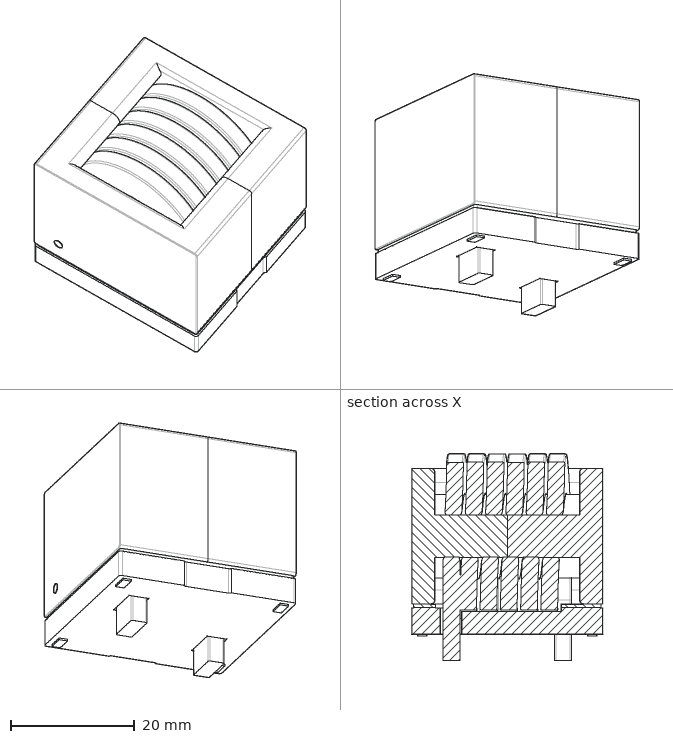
import cadquery as cq
import math


core_width = 32.2
core_depth = 31.0
core_height = 21.98
core_edge_radius = 0.47
core_face_radius = 0.15
post_diameter = 13.5
cavity_radius = 13.5
cavity_half_depth = 11.72
leg_lip_radius = 1.4
wall_lip_radius = 0.65

mark_diameter = 1.6
mark_depth = 0.1
mark_x = -11.3
mark_z = -7.6

wire_radial = 6.6
wire_axial = 2.78
wire_edge_radius = 0.25
pitch = 3.28
turns = 5.5
lead_bend_radius = 4.02
pin_x = 5.5
overall_height = 33.5

spacer_inset = 0.3
spacer_thickness = 0.6
base_thickness = 4.3
base_corner_radius = 0.47
side_recess_half_width = 4.12
foot_length = 3.08
foot_width = 1.47
foot_height = 0.3
foot_x = 13.57
foot_y = 13.77

trough_half_depth = 8.7
opening_inner_y = 7.37
spacer_opening_outer_y = 11.6
base_opening_outer_y = 10.82

coil_mid_radius = post_diameter / 2 + wire_radial / 2
coil_outer_radius = post_diameter / 2 + wire_radial
lead_y = turns * pitch / 2
core_top = core_height / 2
core_bottom = -core_top
base_top = core_bottom - spacer_thickness
base_bottom = base_top - base_thickness
pin_bottom = coil_outer_radius - overall_height


def leg_opening():
    """Cavity between the side legs: a cylinder along Y whose open ends flare out with rounded lips."""
    lip_z = core_top - leg_lip_radius
    lip_center_distance = cavity_radius + leg_lip_radius
    lip_x = math.sqrt(lip_center_distance**2 - lip_z**2)
    tangent_x = lip_x * cavity_radius / lip_center_distance
    tangent_z = lip_z * cavity_radius / lip_center_distance
    throat_x = lip_x - leg_lip_radius
    profile = (
        cq.Workplane("XZ")
        .moveTo(-lip_x, core_top)
        .lineTo(lip_x, core_top)
        .threePointArc((throat_x, lip_z), (tangent_x, tangent_z))
        .threePointArc((cavity_radius, 0), (tangent_x, -tangent_z))
        .threePointArc((throat_x, -lip_z), (lip_x, core_bottom))
        .lineTo(-lip_x, core_bottom)
        .threePointArc((-throat_x, -lip_z), (-tangent_x, -tangent_z))
        .threePointArc((-cavity_radius, 0), (-tangent_x, tangent_z))
        .threePointArc((-throat_x, lip_z), (-lip_x, core_top))
        .close()
    )
    return profile.extrude(core_depth / 2, both=True)


def wall_opening():
    """Cavity between the end walls, with rounded lips where it opens at the top and the bottom."""
    lip_y = cavity_half_depth + wall_lip_radius
    lip_z = core_top - wall_lip_radius
    profile = (
        cq.Workplane("YZ")
        .moveTo(-lip_y, core_top)
        .lineTo(lip_y, core_top)
        .radiusArc((cavity_half_depth, lip_z), -wall_lip_radius)
        .lineTo(cavity_half_depth, -lip_z)
        .radiusArc((lip_y, core_bottom), -wall_lip_radius)
        .lineTo(-lip_y, core_bottom)
        .radiusArc((-cavity_half_depth, -lip_z), -wall_lip_radius)
        .lineTo(-cavity_half_depth, lip_z)
        .radiusArc((-lip_y, core_top), -wall_lip_radius)
        .close()
    )
    return profile.extrude(core_width / 2, both=True)


def make_core_half():
    """Core half on the -Y side: end wall, two side legs and half of the round post."""
    block = (
        cq.Workplane("XZ")
        .rect(core_width, core_height)
        .extrude(core_depth / 2)
        .edges("|Y")
        .fillet(core_edge_radius)
        .faces("<Y")
        .edges()
        .fillet(core_face_radius)
    )
    post = cq.Workplane("XZ").circle(post_diameter / 2).extrude(core_depth / 2 - core_face_radius)
    return block.cut(leg_opening().intersect(wall_opening())).union(post)


def cut_mark(core_half):
    """Shallow round mark in the outer face."""
    mark = (
        cq.Workplane("XZ", origin=(mark_x, -core_depth / 2, mark_z))
        .circle(mark_diameter / 2)
        .extrude(-mark_depth)
    )
    return core_half.cut(mark)


def wire_section(y):
    """Rounded wire cross-section on the -X side of the post."""
    section = cq.Sketch().rect(wire_radial, wire_axial).vertices().fillet(wire_edge_radius)
    return cq.Workplane("XY", origin=(-coil_mid_radius, y, 0)).placeSketch(section)


def make_half_turns():
    """First half of the helix, from the -X side at +Y to the middle of the winding."""
    path = (
        cq.Wire.makeHelix(pitch, turns * pitch / 2, coil_mid_radius, lefthand=True)
        .rotate(cq.Vector(0, 0, 0), cq.Vector(0, 0, 1), 180)
        .rotate(cq.Vector(0, 0, 0), cq.Vector(1, 0, 0), 90)
        .translate(cq.Vector(0, lead_y, 0))
    )
    return wire_section(lead_y).sweep(cq.Workplane(obj=path), isFrenet=True)


def make_lead():
    """Flat lead: follows the coil, bends back to vertical and ends as a straight pin."""
    bend_center_distance = coil_mid_radius + lead_bend_radius
    bend_center_x = -(pin_x + lead_bend_radius)
    bend_angle = math.acos(-bend_center_x / bend_center_distance)
    drop = bend_center_distance * math.sin(bend_angle)
    wrap_x = -coil_mid_radius * math.cos(bend_angle)
    wrap_z = -coil_mid_radius * math.sin(bend_angle)
    path = (
        cq.Workplane("XZ", origin=(0, lead_y, 0))
        .moveTo(-coil_mid_radius, 0)
        .radiusArc((wrap_x, wrap_z), -coil_mid_radius)
        .radiusArc((-pin_x, -drop), lead_bend_radius)
        .lineTo(-pin_x, pin_bottom)
    )
    return wire_section(lead_y).sweep(path)


def make_winding():
    """Complete winding: two equal halves, half a turn apart about the Z axis, joined at Y = 0."""
    half = make_half_turns().union(make_lead())
    return half.union(half.rotate((0, 0, 0), (0, 0, 1), 180))


def coil_trough():
    """Clearance for the turns that dip below the core."""
    return cq.Workplane("XZ").circle(cavity_radius).extrude(trough_half_depth, both=True)


def cut_pin_openings(plate, outer_y):
    """Vertical openings as wide as the pins, one for each pin."""
    opening_depth = outer_y - opening_inner_y
    opening_y = (outer_y + opening_inner_y) / 2
    return plate.cut(
        cq.Workplane("XY", origin=(0, 0, base_bottom))
        .pushPoints([(-pin_x, opening_y), (pin_x, -opening_y)])
        .rect(wire_radial, opening_depth)
        .extrude(core_bottom - base_bottom)
    )


def make_plate(bottom, thickness, inset):
    """Rectangular plate with rounded corners, set in from the outline of the core."""
    return (
        cq.Workplane("XY", origin=(0, 0, bottom))
        .rect(core_width - 2 * inset, core_depth - 2 * inset)
        .extrude(thickness)
        .edges("|Z")
        .fillet(base_corner_radius)
    )


def make_spacer():
    plate = make_plate(base_top, spacer_thickness, spacer_inset).cut(coil_trough())
    return cut_pin_openings(plate, spacer_opening_outer_y)


def side_recess():
    """Recess in the -X side of the base, as deep as the spacer's inset, with rounded-over ends."""
    outer_x = -core_width / 2
    floor_x = outer_x + spacer_inset
    end_run = math.sqrt(base_corner_radius**2 - (base_corner_radius - spacer_inset) ** 2)
    floor_y = side_recess_half_width - end_run
    return (
        cq.Workplane("XY", origin=(0, 0, base_bottom))
        .moveTo(outer_x, -side_recess_half_width)
        .lineTo(outer_x, side_recess_half_width)
        .radiusArc((floor_x, floor_y), base_corner_radius)
        .lineTo(floor_x, -floor_y)
        .radiusArc((outer_x, -side_recess_half_width), base_corner_radius)
        .close()
        .extrude(base_thickness)
    )


def make_base():
    plate = make_plate(base_bottom, base_thickness, 0).cut(coil_trough())
    plate = cut_pin_openings(plate, base_opening_outer_y)
    recess = side_recess()
    plate = plate.cut(recess).cut(recess.mirror("YZ"))
    feet = (
        cq.Workplane("XY", origin=(0, 0, base_bottom))
        .rect(2 * foot_x, 2 * foot_y, forConstruction=True)
        .vertices()
        .rect(foot_length, foot_width)
        .extrude(-foot_height)
    )
    return plate.union(feet)


plain_core_half = make_core_half()
front_core_half = cut_mark(plain_core_half)
rear_core_half = plain_core_half.mirror("XZ")
winding = make_winding()
spacer = make_spacer()
base = make_base()

bodies = [front_core_half, rear_core_half, winding, spacer, base]

result = cq.Compound.makeCompound([body.solids().val() for body in bodies])